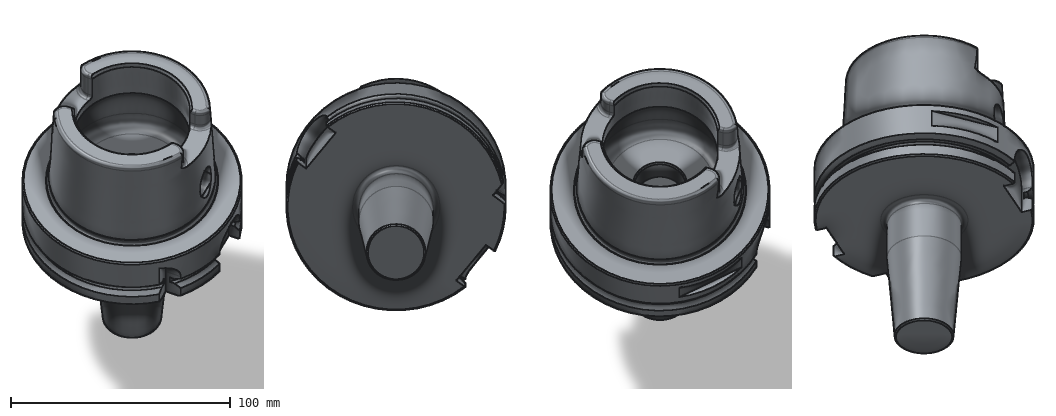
import cadquery as cq
import math

length = 145.0

shank_top_radius = 35.7
shank_base_radius = 38.0
shank_rim_round = 1.9
shank_base = 97.7
neck_radius = 37.5
neck_top = 96.9
neck_fillet = 1.3
relief_depth = 0.3
relief_radius = 39.3

flange_radius = 50.0
flange_top = 95.0
flange_bottom = 66.0
flange_chamfer = 0.7
groove_floor_radius = 45.8
groove_step_radius = 47.7
groove_top_edge = 78.5
groove_bottom_edge = 71.9
groove_bevel_height = 1.7

nose_radius = 17.0
nose_fillet = 2.9
nose_taper_start = 44.8
tip_radius = 13.5
tip_chamfer = 0.7

bore_radius = 26.4
bore_chamfer = 1.0
bore_chamfer_height = 1.5
bore_depth = 19.6
undercut_radius = 31.3
clamp_angle = 60.0
floor_depth = 46.0
floor_fillet = 6.7
thread_radius = 11.7
thread_chamfer = 0.7
thread_floor_depth = 58.0
pilot_radius = 4.6
pilot_floor_depth = 65.2

slot_half_width = 10.0
slot_end_radius = 5.4
slot_end_start = 26.8
slot_half_mouth = 18.0
slot_base_fillet = 1.9
slot_rim_round = 1.7
left_slot_depth = 15.0
right_slot_depth = 10.2

cross_hole_radius = 6.0
cross_hole_depth = 35.0
inclined_hole_tilt = 45.0
inclined_hole_pivot = 38.7
inclined_hole_reach = 14.5

keyway_radius = 10.9
keyway_floor = 43.5
keyway_top = 89.9
notch_radius = 10.3
notch_floor = 31.3
notch_wall = -31.6
notch_top = 90.3
flat_distance = 47.3
flat_top = 91.0
flat_bottom = 82.8

reach = flange_radius + 1.5
select_margin = 0.1


def holder_body():
    """Turned outside of the holder."""
    groove_step_top = groove_top_edge - groove_bevel_height
    groove_step_bottom = groove_bottom_edge + groove_bevel_height
    diagonal = math.sqrt(0.5)
    relief_floor = flange_top - relief_depth
    rim_arc_mid = (
        shank_top_radius - shank_rim_round * (1 - diagonal),
        length - shank_rim_round * (1 - diagonal),
    )
    neck_arc_mid = (
        neck_radius + neck_fillet * (1 - diagonal),
        relief_floor + neck_fillet * (1 - diagonal),
    )
    nose_arc_mid = (
        nose_radius + nose_fillet * (1 - diagonal),
        flange_bottom - nose_fillet * (1 - diagonal),
    )
    return (
        cq.Workplane("XZ")
        .moveTo(0, length)
        .lineTo(shank_top_radius - shank_rim_round, length)
        .threePointArc(rim_arc_mid, (shank_top_radius, length - shank_rim_round))
        .lineTo(shank_base_radius, shank_base)
        .lineTo(neck_radius, neck_top)
        .lineTo(neck_radius, relief_floor + neck_fillet)
        .threePointArc(neck_arc_mid, (neck_radius + neck_fillet, relief_floor))
        .lineTo(relief_radius, flange_top)
        .lineTo(flange_radius - flange_chamfer, flange_top)
        .lineTo(flange_radius, flange_top - flange_chamfer)
        .lineTo(flange_radius, groove_top_edge)
        .lineTo(groove_step_radius, groove_step_top)
        .lineTo(groove_floor_radius, groove_step_top)
        .lineTo(groove_floor_radius, groove_step_bottom)
        .lineTo(groove_step_radius, groove_step_bottom)
        .lineTo(flange_radius, groove_bottom_edge)
        .lineTo(flange_radius, flange_bottom + flange_chamfer)
        .lineTo(flange_radius - flange_chamfer, flange_bottom)
        .lineTo(nose_radius + nose_fillet, flange_bottom)
        .threePointArc(nose_arc_mid, (nose_radius, flange_bottom - nose_fillet))
        .lineTo(nose_radius, nose_taper_start)
        .lineTo(tip_radius, tip_chamfer)
        .lineTo(tip_radius - tip_chamfer, 0)
        .lineTo(0, 0)
        .close()
        .revolve(360, (0, 0, 0), (0, 1, 0))
    )


def bore():
    """Stepped blind bore with a conical clamping shoulder."""
    shoulder_height = (undercut_radius - bore_radius) / math.tan(math.radians(clamp_angle))
    bore_end = length - bore_depth
    floor = length - floor_depth
    thread_floor = length - thread_floor_depth
    pilot_floor = length - pilot_floor_depth
    fillet_inset = floor_fillet * (1 - math.sqrt(0.5))
    return (
        cq.Workplane("XZ")
        .moveTo(0, length)
        .lineTo(bore_radius + bore_chamfer, length)
        .lineTo(bore_radius, length - bore_chamfer_height)
        .lineTo(bore_radius, bore_end)
        .lineTo(undercut_radius, bore_end - shoulder_height)
        .lineTo(undercut_radius, floor + floor_fillet)
        .threePointArc(
            (undercut_radius - fillet_inset, floor + fillet_inset),
            (undercut_radius - floor_fillet, floor),
        )
        .lineTo(thread_radius + thread_chamfer, floor)
        .lineTo(thread_radius, floor - thread_chamfer)
        .lineTo(thread_radius, thread_floor)
        .lineTo(pilot_radius, thread_floor)
        .lineTo(pilot_radius, pilot_floor)
        .lineTo(0, pilot_floor)
        .close()
        .revolve(360, (0, 0, 0), (0, 1, 0))
    )


def slot_outline(height, widening):
    """Closed plan of a +X drive slot, opening outwards around rounded wall ends."""
    half_width = slot_half_width + widening
    end_radius = slot_end_radius - widening
    arc_center_y = half_width + end_radius
    arc_far_x = slot_end_start + end_radius
    arc_end_x = slot_end_start + math.sqrt(
        end_radius**2 - (slot_half_mouth - arc_center_y) ** 2
    )
    return (
        cq.Workplane("XY", origin=(0, 0, height))
        .moveTo(0, -half_width)
        .lineTo(slot_end_start, -half_width)
        .threePointArc((arc_far_x, -arc_center_y), (arc_end_x, -slot_half_mouth))
        .lineTo(reach, -slot_half_mouth)
        .lineTo(reach, slot_half_mouth)
        .lineTo(arc_end_x, slot_half_mouth)
        .threePointArc((arc_far_x, arc_center_y), (slot_end_start, half_width))
        .lineTo(0, half_width)
        .close()
    )


def drive_slot(depth):
    """Cutter for a slot on the +X side, filleted at its base and rounded over at the rim."""
    slot = slot_outline(length - depth, 0).extrude(depth)
    slot = slot.faces("<Z").edges().fillet(slot_base_fillet)
    above_rim = slot_outline(length, 1.5 * slot_rim_round).extrude(slot_rim_round)
    wall_edges = cq.selectors.BoxSelector(
        (-1.5, -slot_half_width - select_margin, length - select_margin),
        (1.2 * bore_radius, slot_half_width + select_margin, length + select_margin),
        True,
    )
    return slot.union(above_rim).edges(wall_edges).fillet(slot_rim_round)


def arched_slot(center_y, radius, floor, top):
    """Cutter for a round-topped slot on the +X side, open at the bottom of the flange."""
    arch_center = top - radius
    return (
        cq.Workplane("YZ", origin=(floor, 0, 0))
        .moveTo(center_y - radius, flange_bottom)
        .lineTo(center_y - radius, arch_center)
        .threePointArc((center_y, top), (center_y + radius, arch_center))
        .lineTo(center_y + radius, flange_bottom)
        .close()
        .extrude(reach - floor)
    )


def turned_half(cutter):
    """Turn a +X cutter round to the -X side."""
    return cutter.rotate((0, 0, 0), (0, 0, 1), 180)


def diagonal_flat():
    """Cutter for the flat on the flange rim, facing midway between -X and +Y."""
    return (
        cq.Workplane("XY", origin=(0, 0, flat_bottom))
        .rect(reach - flat_distance, 2 * reach)
        .extrude(flat_top - flat_bottom)
        .translate(((reach + flat_distance) / 2, 0, 0))
        .rotate((0, 0, 0), (0, 0, 1), 135)
    )


cross_hole = (
    cq.Workplane("YZ", origin=(-reach, 0, length - cross_hole_depth))
    .circle(cross_hole_radius)
    .extrude(2 * reach)
)
inclined_hole = (
    cq.Workplane("YZ", origin=(-inclined_hole_reach, 0, 0))
    .circle(cross_hole_radius)
    .extrude(2 * inclined_hole_reach)
    .rotate((0, 0, 0), (0, 1, 0), inclined_hole_tilt)
    .translate((inclined_hole_pivot, 0, length - cross_hole_depth))
)

holder = holder_body().cut(bore())
holder = holder.cut(drive_slot(right_slot_depth)).cut(turned_half(drive_slot(left_slot_depth)))
holder = holder.cut(cross_hole).cut(inclined_hole).cut(turned_half(inclined_hole))

keyway = arched_slot(0, keyway_radius, keyway_floor, keyway_top)
index_notch = arched_slot(notch_wall - notch_radius, notch_radius, notch_floor, notch_top)
holder = holder.cut(keyway).cut(turned_half(keyway)).cut(index_notch)
result = holder.cut(diagonal_flat())